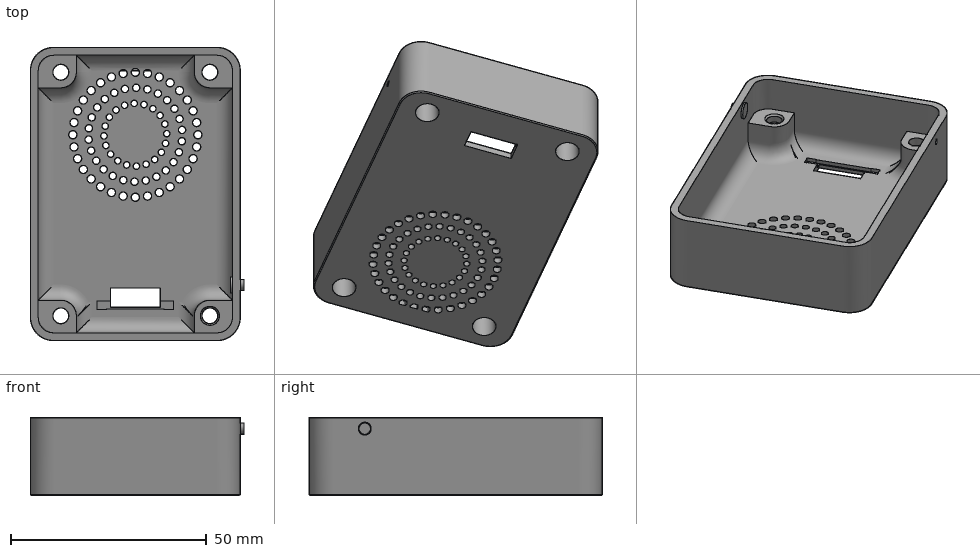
import cadquery as cq
import math

width = 53.7
length = 75.05
height = 20.0
wall = 2.0
floor = 2.0
outer_radius = 6.0
inner_radius = outer_radius - wall
base_chamfer = 0.3
cove_radius = 4.0
inner_x = width / 2 - wall
inner_y = length / 2 - wall

boss_x = 19.1
boss_y = 31.15
boss_radius = 4.0
boss_top = 11.1
root_y = 31.6
screw_diameter = 4.0
head_diameter = 6.0
head_seat = 2.2
lead_in = 0.45

grille_y = 15.15
grille_rings = [
    (32, 16.0, 2.0, 0.0),
    (26, 12.0, 1.8, 5.9),
    (20, 8.0, 1.6, 2.0),
]

window_width = 12.7
window_length = 4.9
window_y = -26.5
seat_width = 19.5
seat_neck_width = 14.7
seat_back = -27.4
seat_end_front = -29.6
seat_neck_front = -29.4
seat_depth = floor / 2

button_y = -23.3
button_z = height - 2.85
button_diameter = 2.9
button_hole_diameter = 3.3
flange_diameter = 4.2
flange_thickness = 0.45
button_reach = 1.0
access_diameter = 1.4

corners = [(sign_x, sign_y) for sign_x in (-1, 1) for sign_y in (-1, 1)]


def vertical_cylinder(x, y, diameter, bottom, top):
    return cq.Workplane("XY", origin=(x, y, bottom)).circle(diameter / 2).extrude(top - bottom)


def cross_cylinder(start_x, diameter, reach):
    """Cylinder along +X on the button axis."""
    plane = cq.Workplane("YZ", origin=(start_x, button_y, button_z))
    return plane.circle(diameter / 2).extrude(reach)


def make_shell():
    """Outer block with its base edge chamfered."""
    block = cq.Workplane("XY").box(width, length, height, centered=(True, True, False))
    return block.edges("|Z").fillet(outer_radius).faces("<Z").edges().chamfer(base_chamfer)


def make_boss_block(sign_x, sign_y):
    """Boss block reaching into both walls, its free corner rounded about the screw axis."""
    size_x = width / 2 - boss_x + boss_radius
    size_y = length / 2 - boss_y + boss_radius
    center_x = sign_x * (boss_x - boss_radius + size_x / 2)
    center_y = sign_y * (boss_y - boss_radius + size_y / 2)
    free_corner = ("<X" if sign_x > 0 else ">X") + " and " + ("<Y" if sign_y > 0 else ">Y")
    plane = cq.Workplane("XY", origin=(center_x, center_y, floor))
    block = plane.rect(size_x, size_y).extrude(boss_top - floor)
    return block.edges("|Z").edges(free_corner).fillet(boss_radius)


def make_cavity():
    """Inner space: full outline above the bosses, cut in around them below, coved along the floor."""
    room = (
        cq.Workplane("XY", origin=(0, 0, floor))
        .rect(2 * inner_x, 2 * inner_y)
        .extrude(height - floor)
        .edges("|Z")
        .fillet(inner_radius)
    )
    for sign_x, sign_y in corners:
        room = room.cut(make_boss_block(sign_x, sign_y))
    return room.faces("<Z").edges().fillet(cove_radius)


def cove_profile(plane, start, far):
    """Closed outline from far to a concave quarter-round that begins at start and runs out onto the floor."""
    direction = math.copysign(1, start - far)
    toe = start + direction * cove_radius
    top = floor + cove_radius
    bow = cove_radius * (1 - math.sqrt(0.5))
    return (
        plane.moveTo(far, floor)
        .lineTo(toe, floor)
        .threePointArc((start + direction * bow, floor + bow), (start, top))
        .lineTo(far, top)
        .close()
    )


def make_square_cove(sign_x):
    """Mitred cove around the square root of a boss on the -Y side."""
    toe_y = cove_radius - root_y
    side_plane = cq.Workplane("XZ", origin=(0, toe_y, 0))
    side_start = sign_x * (boss_x - boss_radius)
    side = cove_profile(side_plane, side_start, sign_x * inner_x).extrude(toe_y + inner_y)
    end = cove_profile(cq.Workplane("YZ"), -root_y, -inner_y).extrude(sign_x * inner_x)
    return side.intersect(end)


def make_grille_holes(bottom, top):
    """Rings of round speaker holes between two heights."""
    holes = []
    for count, radius, diameter, first_angle in grille_rings:
        ring = (
            cq.Workplane("XY", origin=(0, grille_y, bottom))
            .polarArray(radius, first_angle, 360, count)
            .circle(diameter / 2)
            .extrude(top - bottom)
        )
        holes.extend(ring.vals())
    return cq.Workplane(cq.Compound.makeCompound(holes))


def make_grille():
    """Holes through the flat floor; past the toe of the cove they only notch the cove."""
    toe_x = inner_x - cove_radius
    toe_y = inner_y - cove_radius
    flat_floor = cq.Workplane("XY").rect(2 * toe_x, 2 * toe_y).extrude(floor)
    through_holes = make_grille_holes(0, floor).intersect(flat_floor)
    cove_notches = make_grille_holes(floor, floor + cove_radius)
    return through_holes, cove_notches


def make_screw_hole(sign_x, sign_y):
    """Through hole with a counterbore for the screw head from below."""
    x = sign_x * boss_x
    y = sign_y * boss_y
    hole = vertical_cylinder(x, y, screw_diameter, 0, boss_top)
    return hole.union(vertical_cylinder(x, y, head_diameter, 0, boss_top - head_seat))


def make_lead_in():
    """Small countersink at the top of the (+X, -Y) boss."""
    mouth = cq.Workplane("XY", origin=(boss_x, -boss_y, boss_top)).circle(screw_diameter / 2 + lead_in)
    return mouth.extrude(-lead_in, taper=45)


def make_window():
    return cq.Workplane("XY", origin=(0, window_y, 0)).rect(window_width, window_length).extrude(floor)


def make_seat():
    half = seat_width / 2
    neck = seat_neck_width / 2
    return (
        cq.Workplane("XY", origin=(0, 0, floor - seat_depth))
        .polyline([
            (-half, seat_back),
            (half, seat_back),
            (half, seat_end_front),
            (neck, seat_end_front),
            (neck, seat_neck_front),
            (-neck, seat_neck_front),
            (-neck, seat_end_front),
            (-half, seat_end_front),
        ])
        .close()
        .extrude(seat_depth)
    )


def make_housing():
    body = make_shell().cut(make_cavity())
    for sign_x in (-1, 1):
        body = body.union(make_square_cove(sign_x))
    for sign_x, sign_y in corners:
        body = body.cut(make_screw_hole(sign_x, sign_y))
    body = body.cut(make_lead_in())
    for holes in make_grille():
        body = body.cut(holes)
    body = body.cut(make_window()).cut(make_seat())
    body = body.cut(cross_cylinder(inner_x, button_hole_diameter, wall))
    return body.cut(cross_cylinder(-width / 2, access_diameter, wall))


def make_button():
    """Round button through the +X wall, held by a thin flange against the inner face."""
    shaft = cross_cylinder(inner_x, button_diameter, wall + button_reach)
    flange = cross_cylinder(inner_x - flange_thickness, flange_diameter, flange_thickness)
    return shaft.union(flange)


housing = make_housing()
button = make_button()

result = cq.Compound.makeCompound([housing.val(), button.val()])